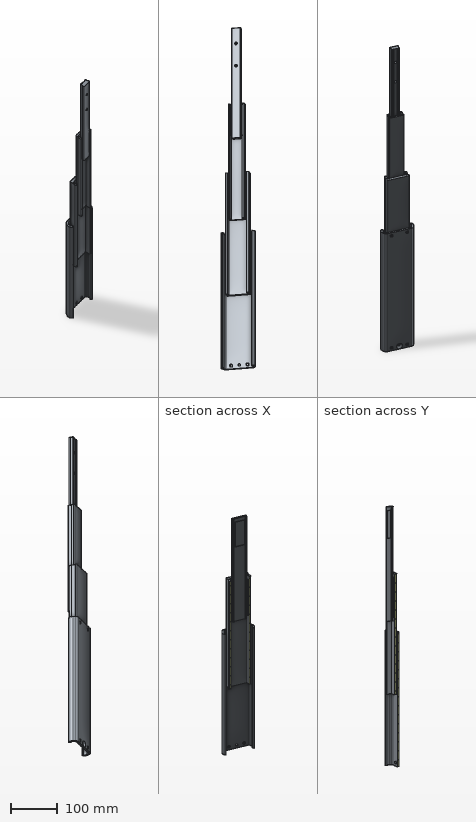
import cadquery as cq
import math


LENGTH = 750.0
THICKNESS = 32.0

HOUSING_BOTTOM, HOUSING_TOP = 0.0, 300.0
OUTER_BOTTOM, OUTER_TOP = 162.0, 431.0
MIDDLE_BOTTOM, MIDDLE_TOP = 327.0, 582.0
INNER_BOTTOM, INNER_TOP = 505.5, LENGTH

HOUSING_BACK = -THICKNESS / 2
HOUSING_HALF_WIDTH = 37.5
HOUSING_SHEET = 4.5
RACE_X = -3.4
RACE_RADIUS = 10.0
RACE_Y = HOUSING_HALF_WIDTH - RACE_RADIUS
BEND_RADIUS = 7.5
SHOULDER_ANGLE = 117.0
BACK_ANGLE = 180.0
LIP_ANGLE = 30.0

HOLE_RADIUS = 3.15
HOLE_Y = 18.0
LOW_HOLE_Z = 7.5
HIGH_HOLE_Z = HOUSING_TOP - LOW_HOLE_Z
SINK_RADIUS = 7.0
SINK_HOLE_RADIUS = 2.0

OUTER_BACK, OUTER_FRONT = -10.5, 7.5
OUTER_HALF_WIDTH = 25.5
OUTER_PLATE = 7.0
OUTER_ARM = 4.5
OUTER_ROUND = 1.5
OUTER_GROOVE_HALF = 4.5
OUTER_GROOVE_DEPTH = 1.5

MIDDLE_BACK, MIDDLE_FRONT = -1.5, 14.0
MIDDLE_WIDTH = 34.0
MIDDLE_HALF_WIDTH = MIDDLE_WIDTH / 2
MIDDLE_PLATE = 4.5
MIDDLE_ARM = 4.0
MIDDLE_ROUND = 1.5
MIDDLE_GROOVE_X = 3.4
MIDDLE_GROOVE_HALF = 2.0
MIDDLE_GROOVE_DEPTH = 1.1

INNER_BACK = 5.6
INNER_FRONT = THICKNESS / 2
INNER_HALF_WIDTH = 10.0
INNER_ROUND = 1.5
INNER_GROOVE_X = 9.0
INNER_GROOVE_HALF = 3.0
INNER_GROOVE_DEPTH = 1.5
SLOT_DEPTH = 1.0
SLOT_FLOOR_HALF = 3.4
SLOT_MOUTH_HALF = 5.6
CORNER_BEVEL = 1.9

INNER_HOLE_RADIUS = 2.6
INNER_HOLE_HEIGHTS = (666.0, 715.5)

CAGE_SHEET = 1.5
CAGE_PLAY = 1.0
CAGE_SETBACK = 1.5
CAGE_INSET = 7.5


def polar(x, y, radius, degrees):
    """Point at a distance and direction from (x, y)."""
    angle = math.radians(degrees)
    return (x + radius * math.cos(angle), y + radius * math.sin(angle))


def flat_bar(back, front, half_width, bottom, top):
    """Rectangular bar, centred on Y = 0."""
    bar = cq.Workplane("XY", origin=((back + front) / 2, 0, bottom))
    return bar.rect(front - back, 2 * half_width).extrude(top - bottom)


def cut_side_grooves(body, x, half_chord, depth, half_width, bottom, top):
    """Cut a round ball groove along both sides of a rail."""
    radius = (half_chord**2 + depth**2) / (2 * depth)
    centre_y = half_width - depth + radius
    grooves = cq.Workplane("XY", origin=(x, 0, bottom)).pushPoints([(0, -centre_y), (0, centre_y)])
    return body.cut(grooves.circle(radius).extrude(top - bottom))


def housing_face(inset):
    """Three-point arcs along one face of the sheet, from the +Y lip to the -Y lip."""
    shoulder_tilt = math.radians(SHOULDER_ANGLE - 90)
    bend_x = HOUSING_BACK + BEND_RADIUS
    race_end = polar(RACE_X, RACE_Y, RACE_RADIUS, SHOULDER_ANGLE)
    bend_end = polar(bend_x, 0, BEND_RADIUS, SHOULDER_ANGLE)
    shoulder_drop = (race_end[0] - bend_end[0]) * math.tan(shoulder_tilt)
    bend_y = race_end[1] - shoulder_drop - bend_end[1]

    race_angles = (LIP_ANGLE, (LIP_ANGLE + SHOULDER_ANGLE) / 2, SHOULDER_ANGLE)
    bend_angles = (SHOULDER_ANGLE, (SHOULDER_ANGLE + BACK_ANGLE) / 2, BACK_ANGLE)
    race = [polar(RACE_X, RACE_Y, RACE_RADIUS - inset, angle) for angle in race_angles]
    bend = [polar(bend_x, bend_y, BEND_RADIUS - inset, angle) for angle in bend_angles]
    upper = race + bend
    return upper + [(x, -y) for x, y in reversed(upper)]


def housing_rail():
    """Bent-sheet rail that carries the whole slide."""
    outline = housing_face(0) + housing_face(HOUSING_SHEET)[::-1]
    sketch = cq.Workplane("XY", origin=(0, 0, HOUSING_BOTTOM)).moveTo(*outline[0])
    for i in range(0, len(outline), 3):
        start, middle, end = outline[i : i + 3]
        if i > 0:
            sketch = sketch.lineTo(*start)
        sketch = sketch.threePointArc(middle, end)
    rail = sketch.close().extrude(HOUSING_TOP - HOUSING_BOTTOM)

    back = cq.Workplane("YZ", origin=(HOUSING_BACK, 0, 0))
    hole_places = [(y, z) for y in (-HOLE_Y, HOLE_Y) for z in (LOW_HOLE_Z, HIGH_HOLE_Z)]
    holes = back.pushPoints(hole_places).circle(HOLE_RADIUS).extrude(HOUSING_SHEET)
    countersink = back.center(0, LOW_HOLE_Z).circle(SINK_RADIUS)
    countersink = countersink.workplane(offset=HOUSING_SHEET).circle(SINK_HOLE_RADIUS).loft()
    return rail.cut(holes).cut(countersink)


def channel_rail(back, front, half_width, plate, arm, rounding, bottom, top):
    """C-shaped rail with rounded outer corners."""
    rail = flat_bar(back, front, half_width, bottom, top).edges("|Z").fillet(rounding)
    return rail.cut(flat_bar(back + plate, front, half_width - arm, bottom, top))


def outer_rail():
    z_range = (OUTER_BOTTOM, OUTER_TOP)
    rail = channel_rail(
        OUTER_BACK, OUTER_FRONT, OUTER_HALF_WIDTH, OUTER_PLATE, OUTER_ARM, OUTER_ROUND, *z_range
    )
    return cut_side_grooves(
        rail, RACE_X, OUTER_GROOVE_HALF, OUTER_GROOVE_DEPTH, OUTER_HALF_WIDTH, *z_range
    )


def middle_rail():
    z_range = (MIDDLE_BOTTOM, MIDDLE_TOP)
    rail = channel_rail(
        MIDDLE_BACK, MIDDLE_FRONT, MIDDLE_HALF_WIDTH, MIDDLE_PLATE, MIDDLE_ARM, MIDDLE_ROUND, *z_range
    )
    return cut_side_grooves(
        rail, MIDDLE_GROOVE_X, MIDDLE_GROOVE_HALF, MIDDLE_GROOVE_DEPTH, MIDDLE_HALF_WIDTH, *z_range
    )


def inner_rail():
    """Solid rail with a back slot, side grooves and two holes through it."""
    upper = [
        (INNER_BACK + SLOT_DEPTH, SLOT_FLOOR_HALF),
        (INNER_BACK, SLOT_MOUTH_HALF),
        (INNER_BACK, INNER_HALF_WIDTH - CORNER_BEVEL),
        (INNER_BACK + SLOT_DEPTH, INNER_HALF_WIDTH),
        (INNER_FRONT, INNER_HALF_WIDTH),
    ]
    outline = upper + [(x, -y) for x, y in reversed(upper)]
    rail = cq.Workplane("XY", origin=(0, 0, INNER_BOTTOM)).polyline(outline).close()
    rail = rail.extrude(INNER_TOP - INNER_BOTTOM).edges("|Z and >X").fillet(INNER_ROUND)
    rail = cut_side_grooves(
        rail,
        INNER_GROOVE_X,
        INNER_GROOVE_HALF,
        INNER_GROOVE_DEPTH,
        INNER_HALF_WIDTH,
        INNER_BOTTOM,
        INNER_TOP,
    )
    back = cq.Workplane("YZ", origin=(INNER_BACK, 0, 0))
    holes = back.pushPoints([(0, z) for z in INNER_HOLE_HEIGHTS]).circle(INNER_HOLE_RADIUS)
    return rail.cut(holes.extrude(INNER_FRONT - INNER_BACK))


def ball_cage(rail_back, rail_half_width, enclosing_front, bottom, top):
    """Sheet channel that wraps around a rail, inside the rail that encloses it."""
    web_front = rail_back - CAGE_PLAY / 2
    arm_inside = rail_half_width + CAGE_PLAY
    front = enclosing_front - CAGE_SETBACK
    z_range = (bottom + CAGE_INSET, top - CAGE_INSET)
    blank = flat_bar(web_front - CAGE_SHEET, front, arm_inside + CAGE_SHEET, *z_range)
    return blank.cut(flat_bar(web_front, front, arm_inside, *z_range))


housing = housing_rail()
outer = outer_rail()
middle = middle_rail()
inner = inner_rail()

cage_fits = [
    (MIDDLE_BACK, MIDDLE_HALF_WIDTH, OUTER_FRONT, MIDDLE_BOTTOM, OUTER_TOP),
    (INNER_BACK, INNER_HALF_WIDTH, MIDDLE_FRONT, INNER_BOTTOM, MIDDLE_TOP),
]
cages = [ball_cage(*fit).val() for fit in cage_fits]

result = cq.Compound.makeCompound([housing.val(), outer.val(), middle.val(), inner.val(), *cages])